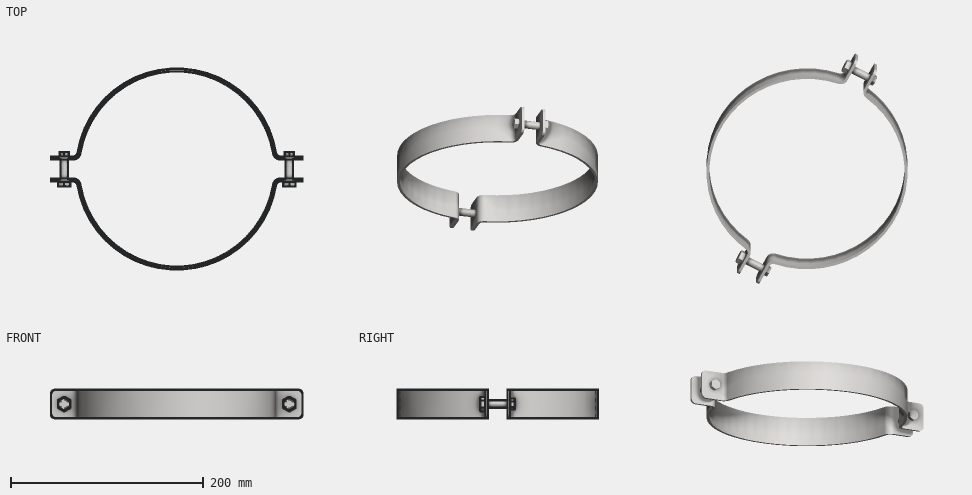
import cadquery as cq
import math


overall_length = 262.0
overall_depth = 209.0
strap_width = 30.0
strap_thickness = 3.0
lug_gap = 20.0
bend_radius = 5.0
lug_corner_radius = 5.0

bolt_offset = 117.0
shank_diameter = 8.0
lug_hole_diameter = 8.5
head_across_flats = 13.0
head_height = 5.0
washer_face_diameter = 11.5
washer_face_height = 0.5
nut_across_flats = 10.0
nut_height = 5.0
chamfer_angle = 30.0
chamfer_flat_ratio = 0.97

lug_end = overall_length / 2
ring_outer_radius = overall_depth / 2
ring_inner_radius = ring_outer_radius - strap_thickness
lug_inner = lug_gap / 2
lug_outer = lug_inner + strap_thickness
outer_bend_radius = bend_radius + strap_thickness

bend_center_distance = ring_outer_radius + bend_radius
bend_center_y = lug_outer + bend_radius
bend_center_x = math.sqrt(bend_center_distance**2 - bend_center_y**2)
ring_end_angle = math.atan2(bend_center_y, bend_center_x)

nut_end = lug_outer + nut_height
bolt_sides = (-1, 1)


def ring_point(radius):
    """Right-hand end of a ring arc of the given radius."""
    return (radius * math.cos(ring_end_angle), radius * math.sin(ring_end_angle))


def bend_middle(radius):
    """Middle of the right-hand bend arc, between straight down and towards the ring centre."""
    straight_down = 1.5 * math.pi
    towards_ring = math.pi + ring_end_angle
    angle = (straight_down + towards_ring) / 2
    return (bend_center_x + radius * math.cos(angle), bend_center_y + radius * math.sin(angle))


def mirrored(point):
    """Left-hand counterpart of a right-hand outline point."""
    return (-point[0], point[1])


def make_strap():
    """Half clamp on the +Y side: half ring, two bends and two drilled lugs."""
    outer_end = ring_point(ring_outer_radius)
    inner_end = ring_point(ring_inner_radius)
    outer_bend_middle = bend_middle(bend_radius)
    inner_bend_middle = bend_middle(outer_bend_radius)
    strap = (
        cq.Workplane("XY")
        .workplane(offset=-strap_width / 2)
        .moveTo(lug_end, lug_inner)
        .lineTo(lug_end, lug_outer)
        .lineTo(bend_center_x, lug_outer)
        .threePointArc(outer_bend_middle, outer_end)
        .threePointArc((0, ring_outer_radius), mirrored(outer_end))
        .threePointArc(mirrored(outer_bend_middle), (-bend_center_x, lug_outer))
        .lineTo(-lug_end, lug_outer)
        .lineTo(-lug_end, lug_inner)
        .lineTo(-bend_center_x, lug_inner)
        .threePointArc(mirrored(inner_bend_middle), mirrored(inner_end))
        .threePointArc((0, ring_inner_radius), inner_end)
        .threePointArc(inner_bend_middle, (bend_center_x, lug_inner))
        .close()
        .extrude(strap_width)
    )
    strap = strap.faces("<X or >X").edges("|Y").fillet(lug_corner_radius)
    for side in bolt_sides:
        strap = strap.cut(y_cylinder(lug_hole_diameter, side * bolt_offset, lug_inner, lug_outer))
    return strap


def y_cylinder(diameter, x, y_start, y_end):
    """Cylinder along Y at the given X, centred in Z."""
    return (
        cq.Workplane("XZ", origin=(x, y_start, 0))
        .circle(diameter / 2)
        .extrude(y_start - y_end)
    )


def hexagon_prism(across_flats, height, x, y_start):
    """Hexagon prism along +Y with its corners pointing up and down."""
    corner_diameter = 2 * across_flats / math.sqrt(3)
    return (
        cq.Workplane("XZ", origin=(x, y_start, 0))
        .transformed(rotate=(0, 0, 90))
        .polygon(6, corner_diameter)
        .extrude(-height)
    )


def chamfer_corners(hexagon, across_flats, x, y_end, direction):
    """Cone off the hexagon corners at the end face y_end, which faces along direction."""
    corner_radius = across_flats / math.sqrt(3)
    flat_radius = chamfer_flat_ratio * across_flats / 2
    ring_radius = 2 * corner_radius
    ring_depth = (ring_radius - flat_radius) * math.tan(math.radians(chamfer_angle))
    chamfer_ring = (
        cq.Workplane("XY", origin=(x, y_end, 0))
        .moveTo(flat_radius, 0)
        .lineTo(ring_radius, 0)
        .lineTo(ring_radius, -direction * ring_depth)
        .close()
        .revolve(360, (0, 0, 0), (0, 1, 0))
    )
    return hexagon.cut(chamfer_ring)


def make_bolt(x):
    """Hexagon bolt: washer face on the -Y lug, shank ending flush with the nut."""
    head_seat = -lug_outer - washer_face_height
    head_end = head_seat - head_height
    head = hexagon_prism(head_across_flats, head_height, x, head_end)
    head = chamfer_corners(head, head_across_flats, x, head_end, -1)
    washer_face = y_cylinder(washer_face_diameter, x, head_seat, -lug_outer)
    shank = y_cylinder(shank_diameter, x, head_seat, nut_end)
    return head.union(washer_face).union(shank)


def make_nut(x):
    """Hexagon nut on the +Y lug, chamfered at both ends."""
    nut = hexagon_prism(nut_across_flats, nut_height, x, lug_outer)
    nut = chamfer_corners(nut, nut_across_flats, x, lug_outer, -1)
    nut = chamfer_corners(nut, nut_across_flats, x, nut_end, 1)
    return nut.cut(y_cylinder(shank_diameter, x, lug_outer, nut_end))


straps = [make_strap().rotate((0, 0, 0), (0, 0, 1), angle) for angle in (0, 180)]
bolts = [make_bolt(side * bolt_offset) for side in bolt_sides]
nuts = [make_nut(side * bolt_offset) for side in bolt_sides]

result = cq.Compound.makeCompound([body.val() for body in straps + bolts + nuts])